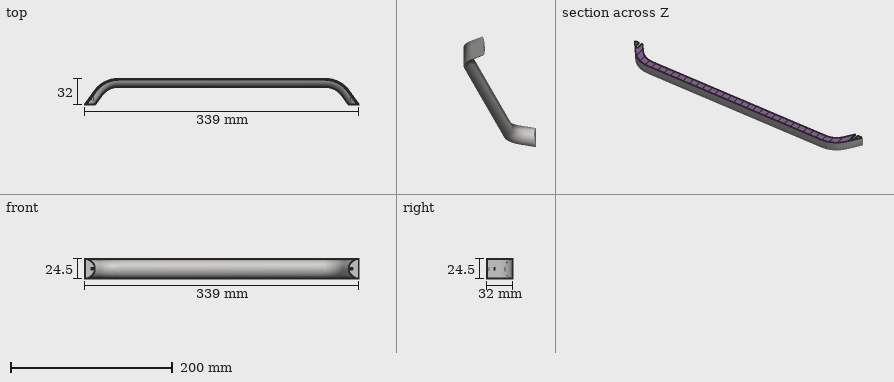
import cadquery as cq
import math

overall_length = 339.0
handle_depth = 32.0
bar_width = 24.5

bar_thickness = 10.2
side_height = 1.5

bend_radius = 35.5
bend_angle = 54.0

hole_diameter = 2.8
hole_depth = 9.5
hole_from_end = 9.2

half_length = overall_length / 2
outer_y = handle_depth / 2
foot_y = -handle_depth / 2
angle = math.radians(bend_angle)
half_angle = angle / 2
bend_end_y = outer_y - bend_radius * (1 - math.cos(angle))
bend_end_x = half_length - (bend_end_y - foot_y) / math.tan(angle)
bend_start_x = bend_end_x - bend_radius * math.sin(angle)
leg_overrun = bar_thickness
tip_x = half_length + leg_overrun * math.cos(angle)
tip_y = foot_y - leg_overrun * math.sin(angle)


def make_path():
    """Centre line of the flat outer face, from the left leg to the right leg."""
    mid_x = bend_start_x + bend_radius * math.sin(half_angle)
    mid_y = outer_y - bend_radius * (1 - math.cos(half_angle))
    return (
        cq.Workplane("XY")
        .moveTo(-tip_x, tip_y)
        .lineTo(-bend_end_x, bend_end_y)
        .threePointArc((-mid_x, mid_y), (-bend_start_x, outer_y))
        .lineTo(bend_start_x, outer_y)
        .threePointArc((mid_x, mid_y), (bend_end_x, bend_end_y))
        .lineTo(tip_x, tip_y)
    )


def make_bar():
    """Domed section swept along the bent path and cut level at the feet."""
    section_plane = cq.Plane(
        origin=(-tip_x, tip_y, 0),
        xDir=(math.sin(angle), -math.cos(angle), 0),
        normal=(math.cos(angle), math.sin(angle), 0),
    )
    half_width = bar_width / 2
    section = (
        cq.Workplane(section_plane)
        .moveTo(0, -half_width)
        .lineTo(side_height, -half_width)
        .threePointArc((bar_thickness, 0), (side_height, half_width))
        .lineTo(0, half_width)
        .close()
    )
    bar = section.sweep(make_path())
    envelope = cq.Workplane("XY").box(overall_length, handle_depth, bar_width)
    return bar.intersect(envelope)


def make_mounting_hole(side):
    """Blind hole drilled square into one foot; side is -1 (left) or +1 (right)."""
    foot_plane = cq.Plane(
        origin=(side * (half_length - hole_from_end), foot_y, 0),
        xDir=(1, 0, 0),
        normal=(0, 1, 0),
    )
    return cq.Workplane(foot_plane).circle(hole_diameter / 2).extrude(hole_depth)


result = make_bar()
for side in (-1, 1):
    result = result.cut(make_mounting_hole(side))